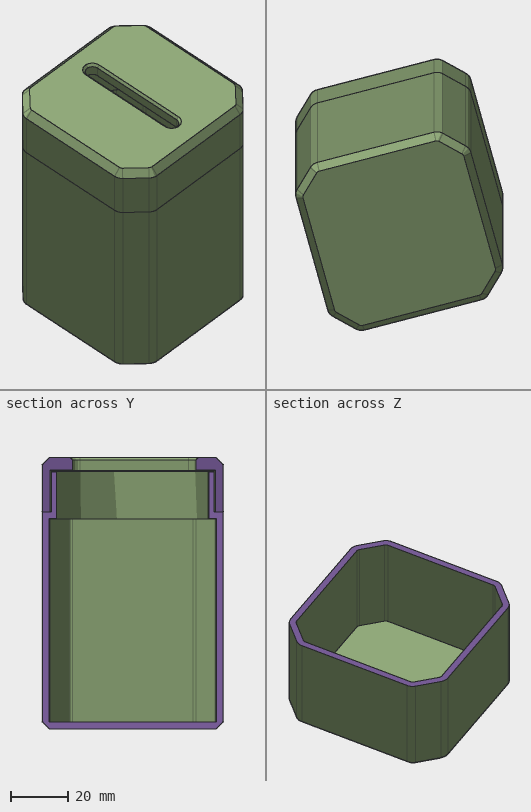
import cadquery as cq
import math

WIDTH = 63.5
HEIGHT = 95.25
LID_HEIGHT = 19.05
BASE_HEIGHT = HEIGHT - LID_HEIGHT

CORNER_CUT = 8.89
CORNER_RADIUS = 4.0
RIM_CHAMFER = 2.54

WALL = 2.54
MOUTH_DIAMETER = 53.34
NECK_DIAMETER = 57.13
SOCKET_DIAMETER = 57.97
NECK_CLEARANCE = (SOCKET_DIAMETER - NECK_DIAMETER) / 2

LID_TOP = 4.572
SOCKET_DEPTH = LID_HEIGHT - LID_TOP
NECK_HEIGHT = SOCKET_DEPTH - NECK_CLEARANCE
SLOT_LENGTH = 43.18
SLOT_WIDTH = 5.08
SLOT_CHAMFER = 0.889
SLOT_X = -0.55
SLOT_Y = 0.2


def octagonal_block(bottom, height, inset=0):
    """Square block with cut and blended vertical corners, its sides moved inward by inset."""
    width = WIDTH - 2 * inset
    corner_cut = CORNER_CUT - inset * (2 - math.sqrt(2))
    return (
        cq.Workplane("XY")
        .workplane(offset=bottom)
        .rect(width, width)
        .extrude(height)
        .edges("|Z")
        .chamfer(corner_cut)
        .edges("|Z")
        .fillet(CORNER_RADIUS - inset)
    )


def disc(diameter, bottom, height):
    """Round cylinder on the vertical axis, standing on Z = bottom."""
    return cq.Workplane("XY").workplane(offset=bottom).circle(diameter / 2).extrude(height)


def make_base():
    """Hollow container with a chamfered bottom rim, a shoulder and an open round neck."""
    shell = octagonal_block(0, BASE_HEIGHT).faces("<Z").chamfer(RIM_CHAMFER)
    cavity = octagonal_block(WALL, BASE_HEIGHT - 2 * WALL, inset=WALL)
    neck = disc(NECK_DIAMETER, BASE_HEIGHT, NECK_HEIGHT)
    mouth = disc(MOUTH_DIAMETER, BASE_HEIGHT - WALL, WALL + NECK_HEIGHT)
    return shell.union(neck).cut(cavity).cut(mouth)


def slot_outline(height, margin=0):
    """Rounded slot shape at Z = height, grown by margin on every side."""
    return (
        cq.Workplane("XY")
        .workplane(offset=height)
        .center(SLOT_X, SLOT_Y)
        .slot2D(SLOT_LENGTH + 2 * margin, SLOT_WIDTH + 2 * margin)
    )


def make_lid():
    """Lid with a chamfered top rim, a socket for the neck and a chamfered slot through its top."""
    block = octagonal_block(BASE_HEIGHT, LID_HEIGHT).faces(">Z").chamfer(RIM_CHAMFER)
    socket = disc(SOCKET_DIAMETER, BASE_HEIGHT, SOCKET_DEPTH)
    slot = slot_outline(BASE_HEIGHT).extrude(LID_HEIGHT)
    slot_lead_in = slot_outline(HEIGHT, SLOT_CHAMFER).extrude(-SLOT_CHAMFER, taper=45)
    return block.cut(socket).cut(slot).cut(slot_lead_in)


base = make_base()
lid = make_lid()

result = cq.Compound.makeCompound([base.val(), lid.val()])